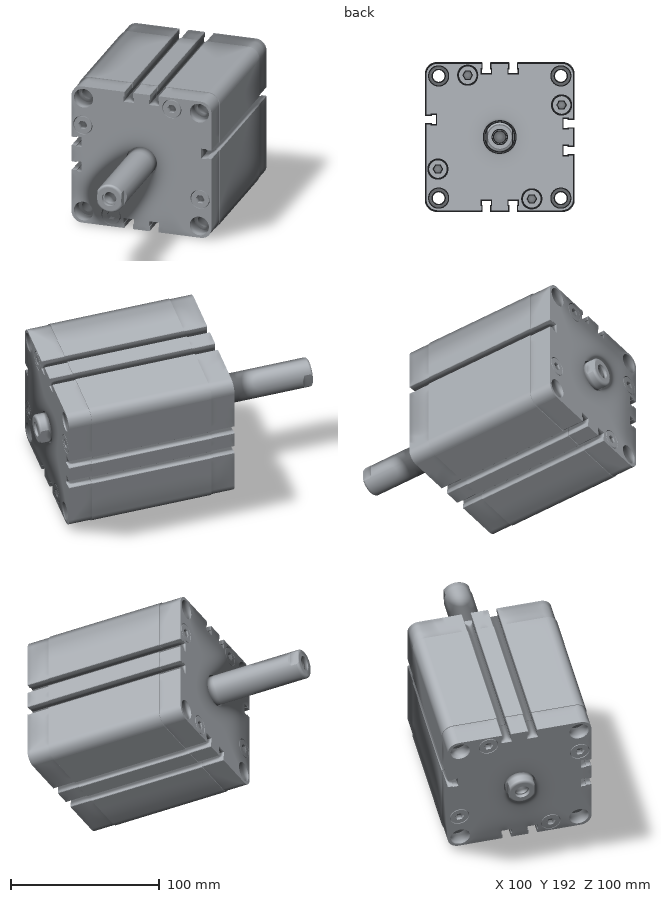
import cadquery as cq
import math


BODY_SIDE = 100.0
BODY_LENGTH = 84.0
BODY_CORNER_RADIUS = 8.0
CAP_SIDE = 99.0
CAP_LENGTH = 16.2
CAP_CORNER_RADIUS = 7.5
HOUSING_LENGTH = BODY_LENGTH + 2 * CAP_LENGTH

SLOT_MOUTH_WIDTH = 5.6
SLOT_FLOOR_WIDTH = 6.8
SLOT_LIP_DEPTH = 4.2
SLOT_DEPTH = 7.5
SLOT_BEVEL = 0.3
CAP_SLOT_MARGIN = 0.2
SLOT_OFFSET = 9.0
SINGLE_SLOT_OFFSET = 11.8

MOUNT_SPACING = 82.0
MOUNT_HOLE_DIAMETER = 8.57
POCKET_DIAMETER = 13.5
MOUNT_POCKET_DEPTH = 10.0

SCREW_NEAR_OFFSET = 21.5
SCREW_FAR_OFFSET = 41.5
SCREW_HEAD_DIAMETER = 12.5
SCREW_POCKET_DEPTH = 8.0
HEX_SIDES = 6
SOCKET_WIDTH = 5.5
SOCKET_DEPTH = 4.0

ROD_DIAMETER = 20.0
ROD_FRONT_LENGTH = 68.0
ROD_LENGTH = 192.0
ROD_END_RADIUS = 1.75
ROD_CLEARANCE_DIAMETER = 22.0
ROD_CLEARANCE_DEPTH = 3.0
FLAT_WIDTH = 17.0
FLAT_LENGTH = 6.0
THREAD_DIAMETER = 8.38
RELIEF_DIAMETER = 10.25
RELIEF_DEPTH = 2.5
THREAD_DEPTH = 20.0
DRILL_POINT_ANGLE = 118.0


def plane_at(y):
    """Sketch plane at position y whose normal is +Y: local x is -X, local y is Z."""
    return cq.Workplane(cq.Plane(origin=(0, y, 0), xDir=(-1, 0, 0), normal=(0, 1, 0)))


def rounded_block(side, corner_radius, y_start, length):
    block = plane_at(y_start).rect(side, side).extrude(length)
    return block.edges("|Y").fillet(corner_radius)


def mirrored_to_rear(shape, middle):
    return shape.mirror("XZ", (0, middle, 0))


def on_both_caps(shape):
    return shape.union(mirrored_to_rear(shape, HOUSING_LENGTH / 2))


def slot_cutter(offset, side_angle, side, margin, y_start, length):
    """Bevelled T-slot in the top side of a block at X = offset, turned to its side about the rod axis.

    The margin widens and deepens the slot all round.
    """
    top = side / 2
    bevel_end = top - SLOT_BEVEL
    lip = BODY_SIDE / 2 - SLOT_LIP_DEPTH + margin
    floor = BODY_SIDE / 2 - SLOT_DEPTH - margin
    half_mouth = SLOT_MOUTH_WIDTH / 2 + margin
    half_bevel = half_mouth + SLOT_BEVEL
    half_floor = SLOT_FLOOR_WIDTH / 2 + margin
    right_half = [
        (half_bevel, top),
        (half_mouth, bevel_end),
        (half_mouth, lip),
        (half_floor, lip),
        (half_floor, floor),
    ]
    left_half = [(-x, z) for x, z in reversed(right_half)]
    outline = [(offset + x, z) for x, z in right_half + left_half]
    profile = cq.Workplane("XZ", origin=(0, y_start, 0)).polyline(outline).close()
    return profile.extrude(-length).rotate((0, 0, 0), (0, 1, 0), side_angle)


def cut_slot(housing, offset, side_angle):
    body_slot = slot_cutter(offset, side_angle, BODY_SIDE, 0, CAP_LENGTH, BODY_LENGTH)
    cap_slot = slot_cutter(offset, side_angle, CAP_SIDE, CAP_SLOT_MARGIN, 0, CAP_LENGTH)
    return housing.cut(body_slot).cut(on_both_caps(cap_slot))


def make_housing():
    body = rounded_block(BODY_SIDE, BODY_CORNER_RADIUS, CAP_LENGTH, BODY_LENGTH)
    cap = rounded_block(CAP_SIDE, CAP_CORNER_RADIUS, 0, CAP_LENGTH)
    housing = body.union(on_both_caps(cap))
    top, right, bottom, left = 0, 90, 180, 270
    for side_angle in (top, bottom, left):
        for offset in (-SLOT_OFFSET, SLOT_OFFSET):
            housing = cut_slot(housing, offset, side_angle)
    return cut_slot(housing, -SINGLE_SLOT_OFFSET, right)


def cut_mounting_holes(housing):
    holes = plane_at(0).rect(MOUNT_SPACING, MOUNT_SPACING, forConstruction=True).vertices()
    drills = holes.circle(MOUNT_HOLE_DIAMETER / 2).extrude(HOUSING_LENGTH)
    pockets = holes.circle(POCKET_DIAMETER / 2).extrude(MOUNT_POCKET_DEPTH)
    return housing.cut(drills).cut(on_both_caps(pockets))


def cut_screw_gaps(housing):
    """Leave each screw head standing flush inside a ring-shaped gap, with a hex socket."""
    near, far = SCREW_NEAR_OFFSET, SCREW_FAR_OFFSET
    centres = [(near, -far), (far, near), (-near, far), (-far, -near)]
    places = plane_at(0).pushPoints(centres)
    gaps = places.circle(POCKET_DIAMETER / 2).circle(SCREW_HEAD_DIAMETER / 2).extrude(SCREW_POCKET_DEPTH)
    across_corners = SOCKET_WIDTH / math.cos(math.pi / HEX_SIDES)
    sockets = places.polygon(HEX_SIDES, across_corners).extrude(SOCKET_DEPTH)
    return housing.cut(on_both_caps(gaps.union(sockets)))


def cut_rod_clearance(housing):
    clearance = plane_at(0).circle(ROD_CLEARANCE_DIAMETER / 2).extrude(ROD_CLEARANCE_DEPTH)
    return housing.cut(on_both_caps(clearance))


def flat_cutters(rod_end):
    """Wrench-flat cutters for both sides of the rod, running out at 45 degrees."""
    inner = FLAT_WIDTH / 2
    outer = ROD_DIAMETER
    flat_end = rod_end + FLAT_LENGTH
    outline = [
        (inner, rod_end),
        (inner, flat_end),
        (outer, flat_end + outer - inner),
        (outer, rod_end),
    ]
    cutter = cq.Workplane("XY").polyline(outline).close().extrude(ROD_DIAMETER / 2, both=True)
    return cutter.union(cutter.mirror("YZ"))


def thread_hole_cutter(rod_end):
    """Counterbored threaded hole at its minor diameter, ending in a drill point."""
    radius = THREAD_DIAMETER / 2
    relief = RELIEF_DIAMETER / 2
    bottom = rod_end + THREAD_DEPTH
    point = radius / math.tan(math.radians(DRILL_POINT_ANGLE / 2))
    outline = [
        (0, rod_end),
        (relief, rod_end),
        (relief, rod_end + RELIEF_DEPTH),
        (radius, rod_end + RELIEF_DEPTH),
        (radius, bottom),
        (0, bottom + point),
    ]
    return cq.Workplane("XY").polyline(outline).close().revolve(360, (0, 0, 0), (0, 1, 0))


def make_rod():
    rod_end = -ROD_FRONT_LENGTH
    rod = plane_at(rod_end).circle(ROD_DIAMETER / 2).extrude(ROD_LENGTH)
    rod = rod.faces("<Y or >Y").edges().fillet(ROD_END_RADIUS)
    end_cuts = flat_cutters(rod_end).union(thread_hole_cutter(rod_end))
    rod_middle = rod_end + ROD_LENGTH / 2
    return rod.cut(end_cuts).cut(mirrored_to_rear(end_cuts, rod_middle))


housing = make_housing()
housing = cut_mounting_holes(housing)
housing = cut_screw_gaps(housing)
housing = cut_rod_clearance(housing)
result = housing.union(make_rod())